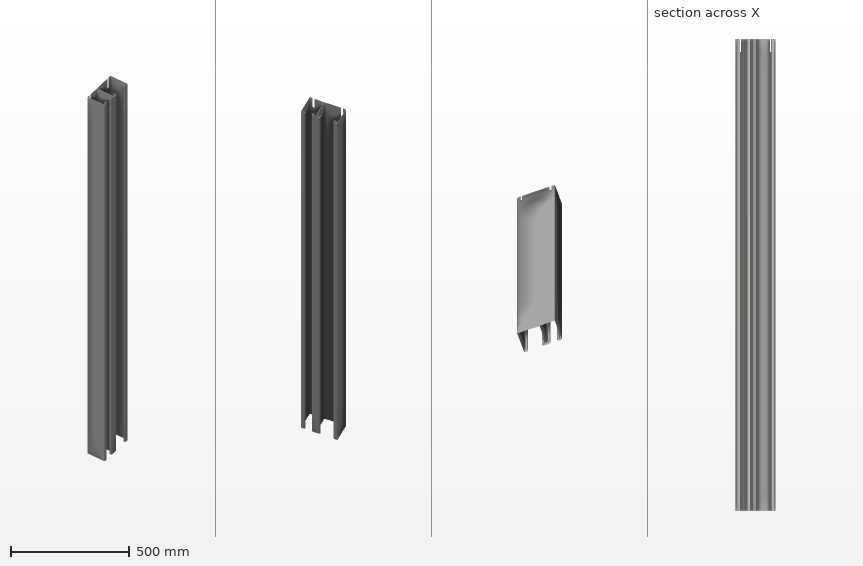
import cadquery as cq

depth = 90.0
width = 170.0
length = 2000.0

sheet = 1.3
bend_radius = 3.2

divider_y = -16.0
foot_width = 35.0

lip_reach = 19.5
curl_radius = 6.0

slot_y = 66.0
slot_width = 9.0
slot_length = 56.0

front_x = depth / 2
back_x = -depth / 2
side_y = width / 2
curl_x = front_x - curl_radius


def bar(x_start, x_end, y_start, y_end):
    """Full-length rectangular bar between two X and two Y positions."""
    return (
        cq.Workplane("XY", origin=(0, 0, -length / 2))
        .center((x_start + x_end) / 2, (y_start + y_end) / 2)
        .rect(abs(x_end - x_start), abs(y_end - y_start))
        .extrude(length)
    )


def rounded_tube():
    """Rectangular sheet tube with bent corners."""
    outside = bar(back_x, front_x, -side_y, side_y).edges("|Z").fillet(bend_radius)
    inside = (
        bar(back_x + sheet, front_x - sheet, -side_y + sheet, side_y - sheet)
        .edges("|Z")
        .fillet(bend_radius - sheet)
    )
    return outside.cut(inside)


def curl(tip_y, direction):
    """Three-quarter round curl whose tip points along Y, open towards the flange behind it."""
    centre_y = tip_y - direction * curl_radius
    root_y = centre_y - direction * curl_radius
    ring = (
        cq.Workplane("XY", origin=(curl_x, centre_y, -length / 2))
        .circle(curl_radius)
        .circle(curl_radius - sheet)
        .extrude(length)
    )
    return ring.cut(bar(curl_x, front_x, root_y, centre_y))


def back_slot(y):
    """Cutter for a round-ended slot running down from the top of the back."""
    round_z = length / 2 - slot_length + slot_width / 2
    straight = slot_length - slot_width / 2
    cutter_depth = 4 * sheet
    straight_part = cq.Workplane("XY").box(cutter_depth, slot_width, straight, centered=(True, True, False))
    round_end = cq.Workplane("YZ").circle(slot_width / 2).extrude(cutter_depth / 2, both=True)
    return straight_part.union(round_end).translate((back_x, y, round_z))


def make_rail():
    """Outer channel: back, two sides and a curled lip on each side."""
    flat_end_y = side_y - lip_reach + curl_radius
    opening = bar(front_x - bend_radius, front_x, -flat_end_y, flat_end_y)
    rail = rounded_tube().cut(opening)
    for side in (-1, 1):
        rail = rail.union(curl(side * (side_y - lip_reach), -side))
        rail = rail.cut(back_slot(side * slot_y))
    return rail


def make_divider():
    """Web standing on a foot against the back, with a curled lip to either side."""
    foot_x = back_x + sheet
    flat_half = lip_reach - curl_radius
    divider = bar(foot_x, front_x, divider_y - sheet / 2, divider_y + sheet / 2)
    divider = divider.union(
        bar(foot_x, foot_x + sheet, divider_y - foot_width / 2, divider_y + foot_width / 2)
    )
    divider = divider.union(bar(front_x - sheet, front_x, divider_y - flat_half, divider_y + flat_half))
    for direction in (-1, 1):
        divider = divider.union(curl(divider_y + direction * lip_reach, direction))
    return divider


rail = make_rail()
divider = make_divider()

result = cq.Compound.makeCompound([rail.val(), divider.val()])